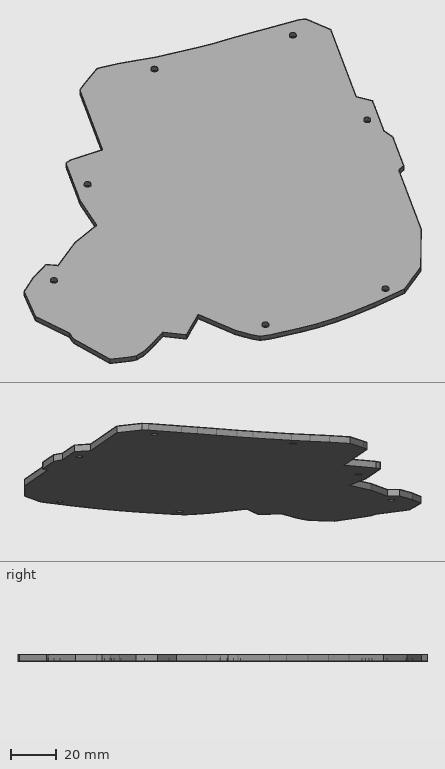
import cadquery as cq

length_x = 166.13
length_y = 179.32
plate_thickness = 3.0
screw_hole_diameter = 3.0

left_x = -length_x / 2
right_x = length_x / 2
front_y = -length_y / 2
back_y = length_y / 2

corner_back_y = 80.7
shoulder_y = 86.9
corner_front_y = -34.2
step_front_y = -51.7

waist_x = -80.7

middle_screw_x = -20.7


left_side = [
    (-72.5, corner_front_y),
    (-74.9, -31.7),
    (-81.9, -23.6),
    (-81.9, -14.1),
    (-81.3, -5.3),
    (waist_x, 2.8),
    (waist_x, 20.4),
    (-80.8, 27.9),
    (-81.5, 37.4),
    (-82.0, 46.2),
    (-82.3, 53.7),
    (left_x, 69.1),
    (-82.6, 71.9),
]

back_side = [
    (-73.8, corner_back_y),
    (-34.5, corner_back_y),
    (-30.3, shoulder_y),
    (-12.7, shoulder_y),
    (-8.2, back_y),
    (8.5, back_y),
    (10.2, shoulder_y),
    (44.9, shoulder_y),
]

right_side = [
    (65.1, corner_back_y),
    (75.0, 70.3),
    (78.8, 55.3),
    (80.6, 46.2),
    (82.0, 37.4),
    (82.9, 27.9),
    (right_x, 20.4),
    (83.0, 6.6),
    (82.5, 2.2),
    (80.8, -0.9),
    (76.3, -7.2),
    (63.1, -20.3),
]

lobe_side = [
    (72.6, -28.5),
    (68.3, -37.9),
    (73.7, -45.1),
    (76.3, -49.1),
    (77.7, -52.8),
    (77.6, -55.3),
    (76.3, -64.4),
    (61.2, -76.2),
    (59.7, -76.8),
    (57.3, -77.2),
    (44.0, -88.9),
    (29.1, front_y),
    (22.9, -83.8),
    (17.3, -76.2),
    (19.3, -71.3),
    (9.1, -60.6),
    (2.4, -48.7),
]

front_side = [
    (-12.9, step_front_y),
    (-34.8, step_front_y),
    (-35.9, -49.3),
    (-37.5, corner_front_y),
]

screw_centres = [
    (middle_screw_x, 81.6),
    (72.4, 62.4),
    (76.9, 6.3),
    (26.8, -75.4),
    (middle_screw_x, -46.0),
    (-74.5, 0.4),
    (-75.5, 63.9),
]


def make_plate():
    """Solid plate inside the closed outline."""
    outline = left_side + back_side + right_side + lobe_side + front_side
    return cq.Workplane("XY").polyline(outline).close().extrude(plate_thickness)


def drill_screw_holes(plate):
    """Cut every screw hole straight through the plate."""
    top = plate.faces(">Z").workplane(origin=(0, 0, plate_thickness))
    return top.pushPoints(screw_centres).hole(screw_hole_diameter)


result = drill_screw_holes(make_plate())